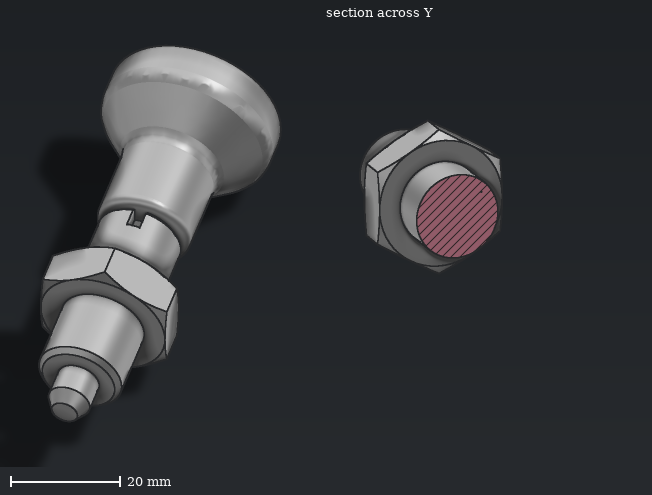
import cadquery as cq
import math


pin_diameter = 8.0
pin_tip_diameter = 5.0
pin_length = 8.0
pin_taper_angle = 30.0

body_diameter = 16.0
body_length = 36.0
body_chamfer = 1.0

slot_width = 2.5
slot_length = 4.5

nut_across_flats = 24.0
nut_thickness = 8.0
nut_offset = 14.0
nut_chamfer_angle = 30.0

knob_diameter = 33.0
knob_length = 33.0
shank_diameter = 18.0
shank_cone_start = 16.5
cone_length = 8.5
knob_edge_radius = 2.0
cone_blend_radius = 4.2


def revolve_about_y(profile):
    """Turn a closed half profile, drawn in the XY plane, about the Y axis."""
    return profile.close().revolve(360, (0, 0, 0), (0, 1, 0))


def make_pin():
    radius = pin_diameter / 2
    tip_radius = pin_tip_diameter / 2
    taper_length = (radius - tip_radius) / math.tan(math.radians(pin_taper_angle))
    profile = (
        cq.Workplane("XY")
        .moveTo(0, -pin_length)
        .lineTo(tip_radius, -pin_length)
        .lineTo(radius, -pin_length + taper_length)
        .lineTo(radius, body_length)
        .lineTo(0, body_length)
    )
    return revolve_about_y(profile)


def make_body():
    radius = body_diameter / 2
    end_radius = radius - body_chamfer
    profile = (
        cq.Workplane("XY")
        .lineTo(end_radius, 0)
        .lineTo(radius, body_chamfer)
        .lineTo(radius, body_length - body_chamfer)
        .lineTo(end_radius, body_length)
        .lineTo(0, body_length)
    )
    return revolve_about_y(profile)


def make_slot_cutter():
    """Block from the body axis up to its top; the pin fills it again up to the pin radius."""
    block = cq.Workplane("XY").box(
        slot_width, slot_length, body_diameter / 2, centered=(True, False, False)
    )
    return block.translate((0, body_length - slot_length, 0))


def make_nut():
    """Hexagon with flats toward +X and -X, both faces chamfered by cones."""
    flat_radius = nut_across_flats / 2
    corner_radius = flat_radius / math.cos(math.pi / 6)
    chamfer_height = (corner_radius - flat_radius) * math.tan(math.radians(nut_chamfer_angle))
    nut_end = nut_offset + nut_thickness
    prism = (
        cq.Workplane("XZ", origin=(0, nut_end, 0))
        .transformed(rotate=(0, 0, 90))
        .polygon(6, 2 * corner_radius)
        .extrude(nut_thickness)
    )
    envelope = (
        cq.Workplane("XY")
        .moveTo(0, nut_offset)
        .lineTo(flat_radius, nut_offset)
        .lineTo(corner_radius, nut_offset + chamfer_height)
        .lineTo(corner_radius, nut_end - chamfer_height)
        .lineTo(flat_radius, nut_end)
        .lineTo(0, nut_end)
    )
    return prism.intersect(revolve_about_y(envelope))


def fillet_circles(solid, heights, radius):
    """Fillet the circular edges that lie at the given Y positions."""
    tolerance = 1e-3
    circles = [
        edge
        for edge in solid.edges("%CIRCLE").vals()
        if any(abs(edge.Center().y - height) < tolerance for height in heights)
    ]
    return solid.newObject(circles).fillet(radius)


def make_knob():
    """Shank, cone and head; the cone blends tangentially into both cylinders."""
    shank_radius = shank_diameter / 2
    head_radius = knob_diameter / 2
    knob_end = body_length + knob_length
    cone_start = body_length + shank_cone_start
    cone_end = cone_start + cone_length
    profile = (
        cq.Workplane("XY")
        .moveTo(0, body_length)
        .lineTo(shank_radius, body_length)
        .lineTo(shank_radius, cone_start)
        .lineTo(head_radius, cone_end)
        .lineTo(head_radius, knob_end)
        .lineTo(0, knob_end)
    )
    knob = revolve_about_y(profile)
    knob = fillet_circles(knob, (body_length, knob_end), knob_edge_radius)
    knob = fillet_circles(knob, (cone_start, cone_end), cone_blend_radius)
    return knob


slotted_body = make_body().cut(make_slot_cutter())
result = slotted_body.union(make_pin()).union(make_nut()).union(make_knob())